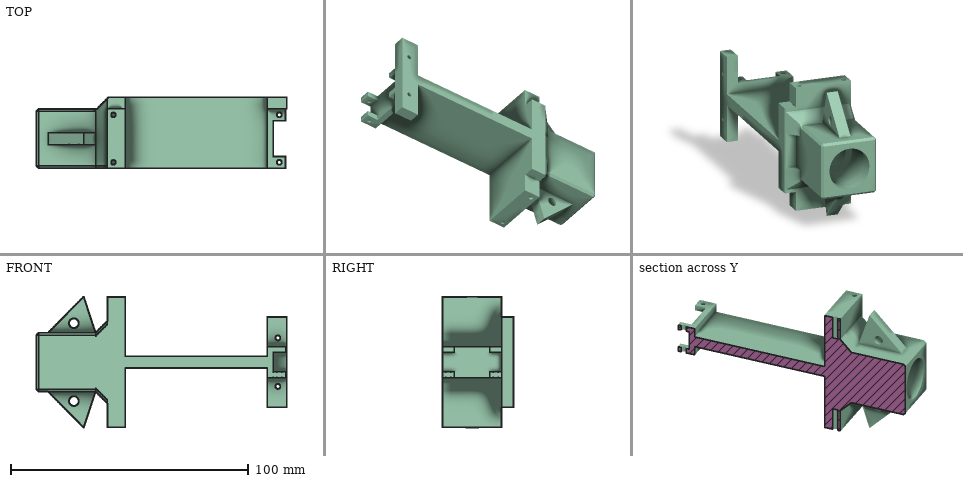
import cadquery as cq

block_width = 25.0
block_height = 24.85
block_half = block_width / 2
block_top = block_height / 2
block_length = 25.0
edge_chamfer = 1.0

bore_diameter = 18.0
bore_depth = 20.0
inner_hole_diameter = 12.0
inner_hole_depth = 5.0

flange_start = 30.0
flange_thickness = 7.5
flange_end = flange_start + flange_thickness
flange_height = 55.0

side_strip = 5.0
side_y = block_half + side_strip
side_height = 38.1

flare_start = block_length - edge_chamfer
flare_root_half = block_top - edge_chamfer
flare_half = flare_root_half + flange_start - flare_start
side_slope_start = 25.5
flare_notch_height = 15.25

screw_diameter = 2.0
screw_y = 10.0
flange_screw_x = 32.5
flange_screw_depth = 10.0

ear_start = 5.0
ear_tip_x = 20.0
ear_span = 55.28
ear_tip_z = ear_span / 2
ear_end = block_length
ear_width = 5.0
ear_hole_diameter = 4.0
ear_hole_x = 15.85
ear_hole_z = 16.4

plate_thickness = 5.0

bracket_start = 97.25
bracket_end = 105.0
bracket_height = 13.0
web_thickness = 2.65
arm_thickness = 2.4
arm_width = 5.0
arm_hole_x = 102.35
post_end = 105.5
post_hole_x = 101.75
post_hole_z = 10.2


def box(x_range, y_range, z_range):
    """Axis-aligned box given the low and high limits on each axis."""
    size = [high - low for low, high in (x_range, y_range, z_range)]
    corner = (x_range[0], y_range[0], z_range[0])
    return cq.Workplane("XY").box(*size, centered=False).translate(corner)


def symmetric(size):
    """Limits of a span centred on zero."""
    return (-size / 2, size / 2)


def cylinder(plane, start, diameter, length):
    """Cylinder of a given diameter from a start point along the plane normal."""
    return cq.Workplane(plane, origin=start).circle(diameter / 2).extrude(length)


def make_block():
    """Socket block with bevels on its front edges and its four long edges."""
    block = box((0, block_length), symmetric(block_width), symmetric(block_height))
    return block.edges("|X or <X").chamfer(edge_chamfer)


def make_flare():
    """Flare widening upward, downward and toward +Y, from the block to the flange."""
    outline = [
        (flare_start, -flare_root_half),
        (flange_start, -flare_half),
        (flange_start, flare_half),
        (flare_start, flare_root_half),
    ]
    flare = cq.Workplane("XZ", origin=(0, -block_half, 0)).polyline(outline).close()
    flare = flare.extrude(-(block_width + side_strip))
    flare = flare.faces("<Y").edges("not |Z").chamfer(edge_chamfer)
    return flare.cut(side_slope()).cut(flare_notch())


def side_slope():
    """Material outside the 45 degree slope on the +Y side of the flare and flange."""
    points = [
        (side_slope_start, block_half),
        (side_slope_start + side_strip, side_y),
        (flare_start, side_y),
        (flare_start, block_half),
    ]
    wedge = cq.Workplane("XY", origin=(0, 0, -flange_height / 2)).polyline(points).close()
    return wedge.extrude(flange_height)


def flare_notch():
    """Notch through the middle of the +Y slope, back to the flange face."""
    return box((flare_start, flange_start), (block_half, side_y), symmetric(flare_notch_height))


def make_flange():
    """Tall upright with a lower shoulder on the +Y side and blind screw holes."""
    x_range = (flange_start, flange_end)
    upright = box(x_range, symmetric(block_width), symmetric(flange_height))
    shoulder = box(x_range, (block_half, side_y), symmetric(side_height)).cut(side_slope())
    flange = upright.union(shoulder)
    for y in (-screw_y, screw_y):
        for z in (-flange_height / 2, flange_height / 2 - flange_screw_depth):
            hole = cylinder("XY", (flange_screw_x, y, z), screw_diameter, flange_screw_depth)
            flange = flange.cut(hole)
    return flange


def make_ear():
    """Triangular ear on top of the block, with a cross hole."""
    outline = [
        (ear_start, 0),
        (ear_start, block_top),
        (ear_tip_x, ear_tip_z),
        (ear_end, block_top),
        (ear_end, 0),
    ]
    ear = cq.Workplane("XZ", origin=(0, ear_width / 2, 0)).polyline(outline).close()
    ear = ear.extrude(ear_width)
    hole = cylinder("XZ", (ear_hole_x, ear_width / 2, ear_hole_z), ear_hole_diameter, ear_width)
    return ear.cut(hole)


def make_socket_bore():
    """Stepped blind bore entering from the -X face."""
    mouth = cylinder("YZ", (0, 0, 0), bore_diameter, bore_depth)
    inner = cylinder("YZ", (bore_depth, 0, 0), inner_hole_diameter, inner_hole_depth)
    return mouth.union(inner)


def make_plate():
    """Flat plate joining the flange to the end bracket."""
    return box((flange_end, bracket_start), (-block_half, side_y), symmetric(plate_thickness))


def make_bracket():
    """Channel opening toward +X, its upper and lower arms forked and drilled."""
    x_range = (bracket_start, bracket_end)
    bracket = box(x_range, symmetric(block_width), symmetric(bracket_height))
    web_end = bracket_start + web_thickness
    channel_height = bracket_height - 2 * arm_thickness
    fork_gap = block_width - 2 * arm_width
    bracket = bracket.cut(box((web_end, bracket_end), symmetric(block_width), symmetric(channel_height)))
    bracket = bracket.cut(box((web_end, bracket_end), symmetric(fork_gap), symmetric(bracket_height)))
    for y in (-screw_y, screw_y):
        start = (arm_hole_x, y, -bracket_height / 2)
        bracket = bracket.cut(cylinder("XY", start, screw_diameter, bracket_height))
    return bracket


def make_post():
    """Post on the +Y side of the bracket with two cross holes."""
    post = box((bracket_start, post_end), (block_half, side_y), symmetric(side_height))
    for z in (-post_hole_z, post_hole_z):
        hole = cylinder("XZ", (post_hole_x, side_y, z), screw_diameter, side_strip)
        post = post.cut(hole)
    return post


head = make_block().union(make_flare())
for ear in (make_ear(), make_ear().mirror("XY")):
    head = head.union(ear)
head = head.union(make_flange()).cut(make_socket_bore())

result = head.union(make_plate()).union(make_bracket()).union(make_post())